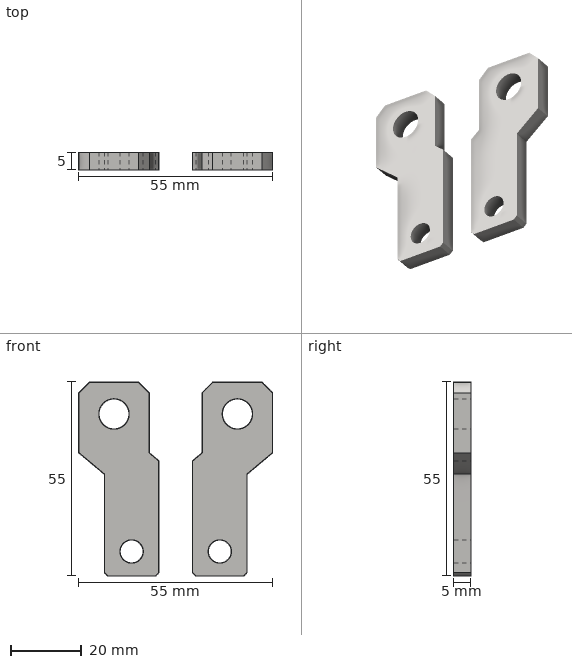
import cadquery as cq
import math

thickness = 5.0
height = 55.0
gap_between_links = 9.5
head_width = 20.0
head_side_height = 20.0
head_chamfer = 3.0
shank_width = 15.5
shank_chamfer = 1.0
inner_step = 2.75
shoulder_angle = 40.0
head_hole_diameter = 8.5
head_hole_drop = 9.0
shank_hole_diameter = 6.5
shank_hole_rise = 7.0

top = height / 2
bottom = -height / 2
shoulder_top = top - head_side_height
shank_inner = gap_between_links / 2
shank_outer = shank_inner + shank_width
head_inner = shank_inner + inner_step
head_outer = head_inner + head_width
shoulder_slope = math.tan(math.radians(shoulder_angle))
inner_shoulder_bottom = shoulder_top - inner_step * shoulder_slope
outer_shoulder_bottom = shoulder_top - (head_outer - shank_outer) * shoulder_slope


def through_hole(x, z, diameter):
    """Cylinder along Y that cuts through the full plate thickness."""
    return (
        cq.Workplane("XZ")
        .center(x, z)
        .circle(diameter / 2)
        .extrude(thickness / 2, both=True)
    )


def link_plate(side):
    """Cranked flat link; side is -1 for the -X link and +1 for its mirror image."""
    outline = [
        (head_inner + head_chamfer, top),
        (head_outer - head_chamfer, top),
        (head_outer, top - head_chamfer),
        (head_outer, shoulder_top),
        (shank_outer, outer_shoulder_bottom),
        (shank_outer, bottom + shank_chamfer),
        (shank_outer - shank_chamfer, bottom),
        (shank_inner + shank_chamfer, bottom),
        (shank_inner, bottom + shank_chamfer),
        (shank_inner, inner_shoulder_bottom),
        (head_inner, shoulder_top),
        (head_inner, top - head_chamfer),
    ]
    plate = (
        cq.Workplane("XZ")
        .polyline([(side * x, z) for x, z in outline])
        .close()
        .extrude(thickness / 2, both=True)
    )
    head_hole_x = side * (head_inner + head_outer) / 2
    shank_hole_x = side * (shank_inner + shank_outer) / 2
    plate = plate.cut(through_hole(head_hole_x, top - head_hole_drop, head_hole_diameter))
    return plate.cut(through_hole(shank_hole_x, bottom + shank_hole_rise, shank_hole_diameter))


links = [link_plate(side) for side in (-1, 1)]

result = cq.Compound.makeCompound([link.val() for link in links])